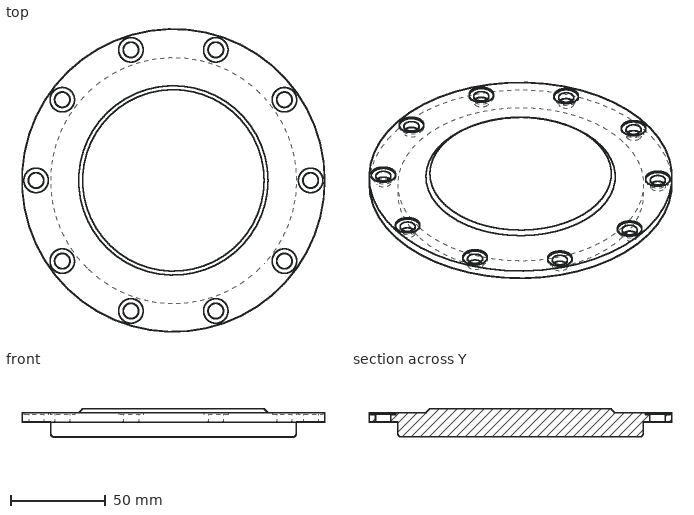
import cadquery as cq

flange_diameter = 160.0
flange_thickness = 5.0

spigot_diameter = 130.0
spigot_height = 8.0
spigot_edge_radius = 2.0

pad_diameter = 100.0
pad_height = 2.0

bolt_count = 10
bolt_circle_diameter = 145.0
bolt_hole_diameter = 8.0
counterbore_diameter = 13.0
counterbore_depth = 1.0

flange_top = spigot_height + flange_thickness


def make_spigot():
    spigot = cq.Workplane("XY").circle(spigot_diameter / 2).extrude(spigot_height)
    return spigot.faces("<Z").edges().fillet(spigot_edge_radius)


def make_flange():
    flange = cq.Workplane("XY").workplane(offset=spigot_height)
    flange = flange.circle(flange_diameter / 2).extrude(flange_thickness)
    return (
        flange.faces(">Z")
        .workplane()
        .polarArray(bolt_circle_diameter / 2, 0, 360, bolt_count)
        .cboreHole(bolt_hole_diameter, counterbore_diameter, counterbore_depth)
    )


def make_pad():
    pad = cq.Workplane("XY").workplane(offset=flange_top)
    return pad.circle(pad_diameter / 2).extrude(pad_height, taper=45)


result = make_flange().union(make_spigot()).union(make_pad())